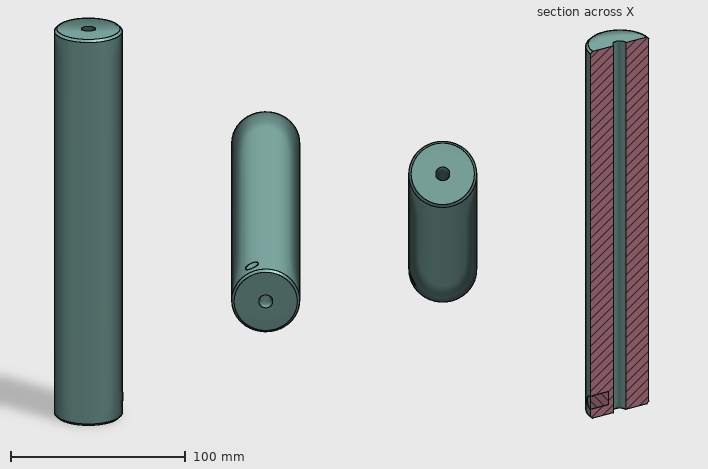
import cadquery as cq

shaft_length = 235.0
shaft_diameter = 39.0
end_chamfer = 1.5
bore_diameter = 8.0

plug_diameter = 8.0
plug_length = 11.8
plug_height = 10.3

shaft_radius = shaft_diameter / 2


def make_plug():
    """Round pin along Y, reaching inward from the outermost line of the shaft."""
    outer_end = cq.Workplane("XZ", origin=(0, shaft_radius, plug_height))
    return outer_end.circle(plug_diameter / 2).extrude(plug_length)


def make_shaft(plug):
    """Chamfered bar with a through bore and a radial hole that fits the plug."""
    bar = cq.Workplane("XY").circle(shaft_radius).extrude(shaft_length)
    bar = bar.faces("<Z or >Z").edges().chamfer(end_chamfer)
    bore = cq.Workplane("XY").circle(bore_diameter / 2).extrude(shaft_length)
    return bar.cut(bore).cut(plug).solids()


plug = make_plug()
shaft = make_shaft(plug)

result = cq.Compound.makeCompound([shaft.val(), plug.val()])